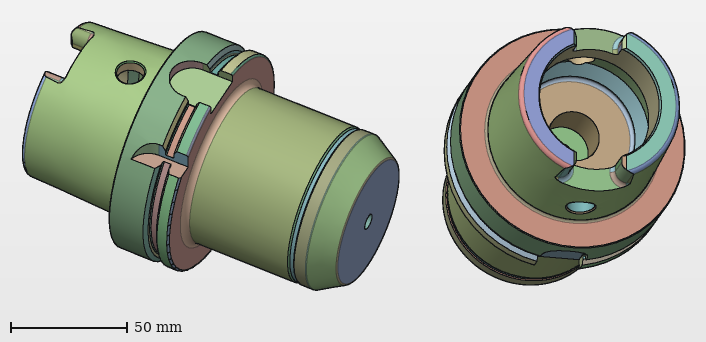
import cadquery as cq
import math


SHANK_LENGTH = 50.0
SHANK_TAPER = 0.1
SHANK_BASE_RADIUS = 38.0
SHANK_EDGE_RADIUS = 2.0
RELIEF_WIDTH = 1.9
RELIEF_LEAD_IN = 0.6
RELIEF_RADIUS = 75.42 / 2
RELIEF_FILLET = 1.2
SHANK_FRONT_RADIUS = SHANK_BASE_RADIUS - (SHANK_LENGTH - RELIEF_WIDTH) * SHANK_TAPER / 2

FLANGE_RADIUS = 50.0
FLANGE_WIDTH = 29.0
FLANGE_FACE_CHAMFER = 0.4
FLANGE_BACK_EDGE_RADIUS = 0.9
GRIP_GROOVE_CENTRE = 20.0
GRIP_GROOVE_FLOOR_RADIUS = 46.0
GRIP_GROOVE_FLARE_RADIUS = 47.9
GRIP_GROOVE_FLOOR_WIDTH = 4.0
GRIP_GROOVE_MOUTH_WIDTH = 6.8
GRIP_GROOVE_FILLET = 0.5

NOSE_X = 100.0
BODY_RADIUS = 36.0
BODY_FILLET = 3.0
RING_GROOVE_START = 79.4
RING_GROOVE_END = 82.6
RING_GROOVE_RADIUS = 71.0 / 2
RING_GROOVE_ENTRY_ANGLE = 30.0
NOSE_CONE_LENGTH = 11.7
NOSE_CONE_ANGLE = 30.0
NOSE_RADIUS = BODY_RADIUS - NOSE_CONE_LENGTH * math.tan(math.radians(NOSE_CONE_ANGLE))
NOSE_EDGE_RADIUS = 1.0

MOUTH_RADIUS = 53.0 / 2
MOUTH_CHAMFER = 0.7
MOUTH_CHAMFER_ANGLE = 30.0
MOUTH_DEPTH = 20.0
CHAMBER_RADIUS = 63.0 / 2
CHAMBER_DEPTH = 39.8
SHOULDER_ANGLE = 60.0
CHAMBER_END_ANGLE = 45.0
RECESS_DEPTH = 2.5
RECESS_CORNER_RADIUS = 1.6
COOLANT_THREAD_RADIUS = 22.38 / 2
COOLANT_THREAD_DEPTH = 20.0
COOLANT_BORE_RADIUS = 6.92 / 2

ACCESS_X = -15.2
ACCESS_DIAMETER = 12.0
ACCESS_RIM_CHAMFER = 0.6

DRIVE_SLOT_WIDTH = 20.0
DRIVE_SLOT_DEPTHS = {1: 10.0, -1: 15.0}
DRIVE_SLOT_SHELF = 32.2
DRIVE_SLOT_SHELF_RADIUS = 5.0
DRIVE_SLOT_FLOOR_FILLET = 2.0
DRIVE_SLOT_CHAMFER = 1.6

CUTTER_RADIUS = 10.0
CUTTER_CENTRE_X = 14.8
KEYWAY_FLOOR = 44.5
CORNER_NOTCH_OFFSET = 31.5

MATCH_TOLERANCE = 1e-4


def revolve_profile(points):
    """Full turn about the X axis of an (x, radius) outline."""
    return cq.Workplane("XY").polyline(points).close().revolve(360, (0, 0, 0), (1, 0, 0))


def round_rim(body, x, radius, fillet_radius):
    """Round the circular edge of a turned body that lies at the given x and radius."""

    def is_rim(edge):
        same_place = abs(edge.Center().x - x) < MATCH_TOLERANCE
        return same_place and edge.geomType() == "CIRCLE" and abs(edge.radius() - radius) < MATCH_TOLERANCE

    return body.edges().filter(is_rim).fillet(fillet_radius)


def make_outer_body():
    mouth_half = GRIP_GROOVE_MOUTH_WIDTH / 2
    floor_half = GRIP_GROOVE_FLOOR_WIDTH / 2
    groove_left = GRIP_GROOVE_CENTRE - floor_half
    groove_right = GRIP_GROOVE_CENTRE + floor_half
    ring_depth = BODY_RADIUS - RING_GROOVE_RADIUS
    ring_floor_start = RING_GROOVE_START + ring_depth / math.tan(math.radians(RING_GROOVE_ENTRY_ANGLE))
    body = revolve_profile(
        [
            (-SHANK_LENGTH, 0),
            (-SHANK_LENGTH, SHANK_FRONT_RADIUS),
            (-RELIEF_WIDTH, SHANK_BASE_RADIUS),
            (-RELIEF_WIDTH + RELIEF_LEAD_IN, RELIEF_RADIUS),
            (0, RELIEF_RADIUS),
            (0, FLANGE_RADIUS - FLANGE_FACE_CHAMFER),
            (FLANGE_FACE_CHAMFER, FLANGE_RADIUS),
            (GRIP_GROOVE_CENTRE - mouth_half, FLANGE_RADIUS),
            (groove_left, GRIP_GROOVE_FLARE_RADIUS),
            (groove_left, GRIP_GROOVE_FLOOR_RADIUS),
            (groove_right, GRIP_GROOVE_FLOOR_RADIUS),
            (groove_right, GRIP_GROOVE_FLARE_RADIUS),
            (GRIP_GROOVE_CENTRE + mouth_half, FLANGE_RADIUS),
            (FLANGE_WIDTH, FLANGE_RADIUS),
            (FLANGE_WIDTH, BODY_RADIUS),
            (RING_GROOVE_START, BODY_RADIUS),
            (ring_floor_start, RING_GROOVE_RADIUS),
            (RING_GROOVE_END - ring_depth, RING_GROOVE_RADIUS),
            (RING_GROOVE_END, BODY_RADIUS),
            (NOSE_X - NOSE_CONE_LENGTH, BODY_RADIUS),
            (NOSE_X, NOSE_RADIUS),
            (NOSE_X, 0),
        ]
    )
    body = round_rim(body, -SHANK_LENGTH, SHANK_FRONT_RADIUS, SHANK_EDGE_RADIUS)
    body = round_rim(body, 0, RELIEF_RADIUS, RELIEF_FILLET)
    for groove_wall in (groove_left, groove_right):
        body = round_rim(body, groove_wall, GRIP_GROOVE_FLOOR_RADIUS, GRIP_GROOVE_FILLET)
    body = round_rim(body, FLANGE_WIDTH, FLANGE_RADIUS, FLANGE_BACK_EDGE_RADIUS)
    body = round_rim(body, FLANGE_WIDTH, BODY_RADIUS, BODY_FILLET)
    body = round_rim(body, NOSE_X - NOSE_CONE_LENGTH, BODY_RADIUS, NOSE_EDGE_RADIUS)
    return round_rim(body, NOSE_X, NOSE_RADIUS, NOSE_EDGE_RADIUS)


def make_cavity():
    """Clamping cavity: narrow mouth, wide undercut chamber, round-cornered recess and coolant holes."""
    mouth_x = -SHANK_LENGTH
    chamfer_length = MOUTH_CHAMFER / math.tan(math.radians(MOUTH_CHAMFER_ANGLE))
    shoulder_rise = CHAMBER_RADIUS - MOUTH_RADIUS
    shoulder_x = mouth_x + MOUTH_DEPTH
    chamber_start = shoulder_x + shoulder_rise / math.tan(math.radians(SHOULDER_ANGLE))
    chamber_end = mouth_x + CHAMBER_DEPTH
    recess_x = chamber_end + shoulder_rise / math.tan(math.radians(CHAMBER_END_ANGLE))
    floor_x = recess_x + RECESS_DEPTH
    thread_end = floor_x + COOLANT_THREAD_DEPTH
    cavity = revolve_profile(
        [
            (mouth_x, 0),
            (mouth_x, MOUTH_RADIUS + MOUTH_CHAMFER),
            (mouth_x + chamfer_length, MOUTH_RADIUS),
            (shoulder_x, MOUTH_RADIUS),
            (chamber_start, CHAMBER_RADIUS),
            (chamber_end, CHAMBER_RADIUS),
            (recess_x, MOUTH_RADIUS),
            (floor_x, MOUTH_RADIUS),
            (floor_x, COOLANT_THREAD_RADIUS),
            (thread_end, COOLANT_THREAD_RADIUS),
            (thread_end, COOLANT_BORE_RADIUS),
            (NOSE_X, COOLANT_BORE_RADIUS),
            (NOSE_X, 0),
        ]
    )
    return round_rim(cavity, floor_x, MOUTH_RADIUS, RECESS_CORNER_RADIUS)


def cut_access_holes(body):
    """Drill the opposed radial holes along Z and chamfer their rims on the taper."""
    drill = cq.Workplane("XY", origin=(ACCESS_X, 0, 0)).circle(ACCESS_DIAMETER / 2)
    drilled = body.cut(drill.extrude(FLANGE_RADIUS, both=True))
    for side in (1, -1):
        rim_box = cq.selectors.BoxSelector(
            (ACCESS_X - ACCESS_DIAMETER, -ACCESS_DIAMETER, side * (CHAMBER_RADIUS + ACCESS_RIM_CHAMFER)),
            (ACCESS_X + ACCESS_DIAMETER, ACCESS_DIAMETER, side * FLANGE_RADIUS),
        )
        drilled = drilled.edges(rim_box).chamfer(ACCESS_RIM_CHAMFER)
    return drilled


def make_drive_slot(side):
    """Key slot in the shank end on the +Z (side = 1) or -Z (side = -1) wall.

    Its cross-section is a key-width channel that rounds out onto a flat shelf near the skin.
    """
    half_width = DRIVE_SLOT_WIDTH / 2
    bend = DRIVE_SLOT_SHELF_RADIUS
    bend_start = DRIVE_SLOT_SHELF - bend
    bend_mid = bend * (1 - math.sqrt(0.5))
    reach = FLANGE_RADIUS
    section = (
        cq.Workplane("YZ", origin=(-SHANK_LENGTH, 0, 0))
        .moveTo(-half_width, 0)
        .lineTo(-half_width, bend_start)
        .threePointArc(
            (-half_width - bend_mid, DRIVE_SLOT_SHELF - bend_mid),
            (-half_width - bend, DRIVE_SLOT_SHELF),
        )
        .lineTo(-reach, DRIVE_SLOT_SHELF)
        .lineTo(-reach, reach)
        .lineTo(reach, reach)
        .lineTo(reach, DRIVE_SLOT_SHELF)
        .lineTo(half_width + bend, DRIVE_SLOT_SHELF)
        .threePointArc(
            (half_width + bend_mid, DRIVE_SLOT_SHELF - bend_mid),
            (half_width, bend_start),
        )
        .lineTo(half_width, 0)
        .close()
    )
    slot = section.extrude(DRIVE_SLOT_DEPTHS[side])
    slot = slot.faces(">X").edges().fillet(DRIVE_SLOT_FLOOR_FILLET)
    flare = (
        cq.Workplane("XY")
        .polyline(
            [
                (-SHANK_LENGTH, half_width + DRIVE_SLOT_CHAMFER),
                (-SHANK_LENGTH + DRIVE_SLOT_CHAMFER, half_width),
                (-SHANK_LENGTH + DRIVE_SLOT_CHAMFER, -half_width),
                (-SHANK_LENGTH, -half_width - DRIVE_SLOT_CHAMFER),
            ]
        )
        .close()
        .extrude(DRIVE_SLOT_SHELF)
    )
    slot = slot.union(flare)
    if side < 0:
        slot = slot.mirror("XY")
    return slot


def make_flange_slot(centre_y, floor_z):
    """Round-ended slot milled along Z, open toward the nose, cut outward from floor_z."""
    slot_end = FLANGE_WIDTH + BODY_FILLET
    length = slot_end - CUTTER_CENTRE_X
    height = FLANGE_RADIUS - floor_z
    channel = cq.Workplane("XY").box(length, 2 * CUTTER_RADIUS, height, centered=(False, True, False))
    round_end = cq.Workplane("XY").circle(CUTTER_RADIUS).extrude(height)
    return channel.union(round_end).translate((CUTTER_CENTRE_X, centre_y, floor_z))


result = cut_access_holes(make_outer_body().cut(make_cavity()))
for slot_side in DRIVE_SLOT_DEPTHS:
    result = result.cut(make_drive_slot(slot_side))

keyway = make_flange_slot(0, KEYWAY_FLOOR)
corner_notch = make_flange_slot(-CORNER_NOTCH_OFFSET - CUTTER_RADIUS, CORNER_NOTCH_OFFSET)
result = result.cut(keyway).cut(keyway.mirror("XY")).cut(corner_notch)